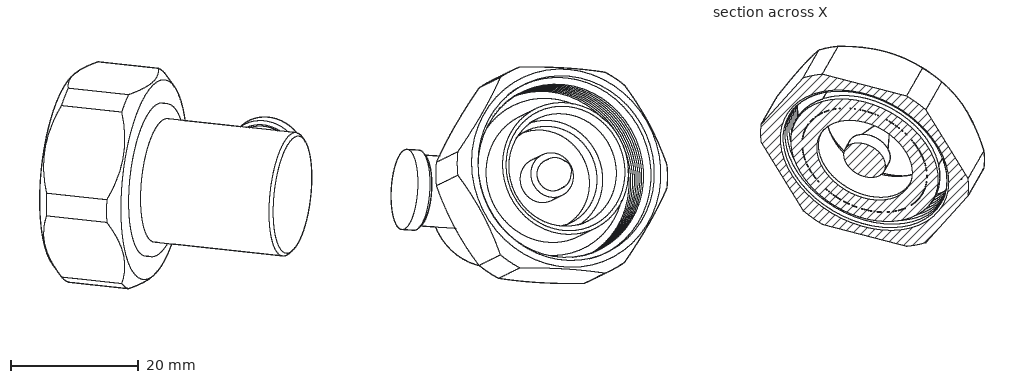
import cadquery as cq
import math

nut_length = 13.5
nut_across_flats = 32.0
nut_corner_diameter = 35.0
nut_radius = nut_corner_diameter / 2
nut_chamfer = 1.75
mouth_radius = 14.67
mouth_depth = 1.57
nut_wall_x = 9.3

thread_minor_radius = 13.75
thread_groove_count = 8
thread_flank_angle = 30

tube_front_x = 0.33
tube_outer_radius = 10.48
tube_mouth_radius = 9.9
tube_bore_radius = 8.95
tube_taper_length = 1.35
bore_step_x = 8.03
inner_bore_radius = 8.0
bore_floor_x = 11.57
seal_section_radius = 1.02
seal_embed = 0.05

insulator_front_x = 6.57
insulator_radius = 3.55
pin_tip_x = 1.95
pin_tip_radius = 1.57
pin_radius = 2.52
pin_cone_length = 2.95
pin_tip_rounding = 0.2
pin_shoulder_rounding = 1.0

collar_radius = 12.08
collar_end_x = 14.67
collar_rounding = 0.4
body_radius = 9.75
body_end_x = 36.5
body_chamfer = 0.5

port_x = 26.43
port_end_y = nut_radius
port_neck_radius = 5.6
port_head_radius = 6.3
port_head_length = 2.52
port_head_chamfer = 0.5


def turned(points):
    """Solid of revolution about the X axis from (x, radius) points."""
    return cq.Workplane("XY").polyline(points).close().revolve(360, (0, 0, 0), (1, 0, 0))


def cylinder(start_x, end_x, radius):
    """Solid cylinder on the X axis."""
    return cq.Workplane("YZ", origin=(start_x, 0, 0)).circle(radius).extrude(end_x - start_x)


def make_nut():
    """Hexagonal nut with chamfered corners and an open threaded cavity."""
    hexagon_diameter = nut_across_flats / math.cos(math.pi / 6)
    hexagon = cq.Workplane("YZ").polygon(6, hexagon_diameter).extrude(nut_length)
    nut = hexagon.intersect(cylinder(0, nut_length, nut_radius).edges().chamfer(nut_chamfer))

    lead_in_end_x = mouth_depth + mouth_radius - thread_minor_radius
    thread_pitch = (nut_wall_x - lead_in_end_x) / thread_groove_count
    groove_half_width = thread_pitch / 2
    thread_depth = groove_half_width / math.tan(math.radians(thread_flank_angle))
    cavity_profile = [
        (0, 0),
        (0, mouth_radius),
        (mouth_depth, mouth_radius),
        (lead_in_end_x, thread_minor_radius),
    ]
    for index in range(thread_groove_count):
        root_x = lead_in_end_x + index * thread_pitch + groove_half_width
        cavity_profile.append((root_x, thread_minor_radius + thread_depth))
        cavity_profile.append((root_x + groove_half_width, thread_minor_radius))
    cavity_profile.append((nut_wall_x, 0))
    return nut.cut(turned(cavity_profile))


def make_body():
    """Contact tube, collar behind the nut and rear barrel, all solid."""
    tube = cylinder(tube_front_x, nut_length, tube_outer_radius)
    collar = cylinder(nut_length, collar_end_x, collar_radius).faces(">X").edges().fillet(collar_rounding)
    barrel = cylinder(nut_length, body_end_x, body_radius).faces(">X").chamfer(body_chamfer)
    return tube.union(collar).union(barrel)


def make_contact_bore():
    """Stepped bore with a tapered mouth in the contact tube."""
    taper_end_x = tube_front_x + tube_taper_length
    return turned([
        (tube_front_x, 0),
        (tube_front_x, tube_mouth_radius),
        (taper_end_x, tube_bore_radius),
        (bore_step_x, tube_bore_radius),
        (bore_step_x, inner_bore_radius),
        (bore_floor_x, inner_bore_radius),
        (bore_floor_x, 0),
    ])


def make_seal():
    """Round-section seal ring seated on the tube and the cavity wall."""
    ring_radius = tube_outer_radius + seal_section_radius - seal_embed
    ring = cq.Solid.makeTorus(ring_radius, seal_section_radius, dir=cq.Vector(1, 0, 0))
    return ring.translate(cq.Vector(nut_wall_x - seal_section_radius + seal_embed, 0, 0))


def make_pin():
    """Centre pin with a conical, rounded tip, standing on its insulator."""
    cone_end_x = pin_tip_x + pin_cone_length
    pin = turned([
        (pin_tip_x, 0),
        (pin_tip_x, pin_tip_radius),
        (cone_end_x, pin_radius),
        (insulator_front_x, pin_radius),
        (insulator_front_x, 0),
    ])
    shoulder = cq.NearestToPointSelector((cone_end_x, 0, 0))
    pin = pin.edges("%CIRCLE").edges(shoulder).fillet(pin_shoulder_rounding)
    pin = pin.faces("<X").edges().fillet(pin_tip_rounding)
    return pin.union(cylinder(insulator_front_x, bore_floor_x, insulator_radius))


def make_port():
    """Side port: neck rising from the body axis, with a wider chamfered head."""
    neck = cq.Workplane("XZ", origin=(port_x, 0, 0)).circle(port_neck_radius).extrude(-port_end_y)
    head = (
        cq.Workplane("XZ", origin=(port_x, port_end_y, 0))
        .circle(port_head_radius)
        .extrude(port_head_length)
        .faces("<Y")
        .chamfer(port_head_chamfer)
    )
    return neck.union(head)


result = (
    make_nut()
    .union(make_body())
    .union(make_seal())
    .union(make_port())
    .cut(make_contact_bore())
    .union(make_pin())
)